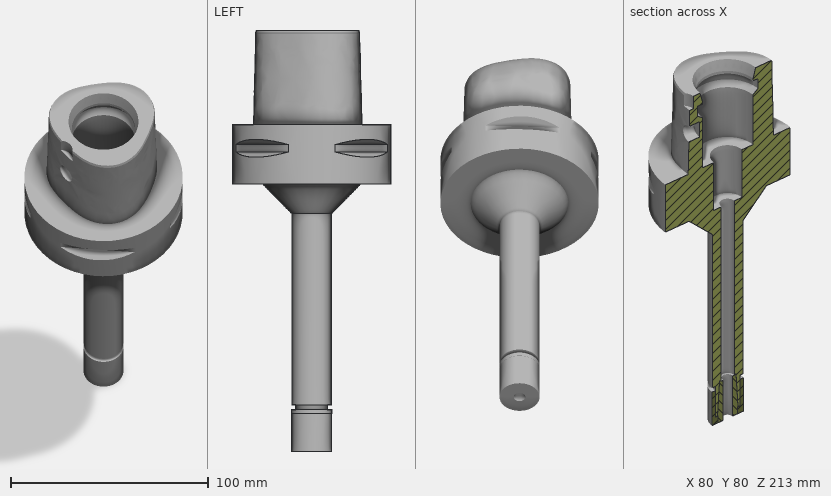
import cadquery as cq
import math


NOSE_BOTTOM = 4.3
NUT_TOP = 21.3
SHANK_BOTTOM = 23.6
CONE_BOTTOM = 120.3
FLANGE_BOTTOM = 135.3
FLANGE_TOP = 165.3
TOP = 213.0

FLANGE_RADIUS = 40.0
CONE_RADIUS = 24.7
SHANK_RADIUS = 10.0
NECK_RADIUS = 8.0

LOBE_COUNT = 3
LOBE_MEAN_RADIUS = 27.5
LOBE_HEIGHT = 2.02
LOBE_CURVE_POINTS = 24
TAPER_PER_SIDE = 1 / 40
TOP_CHAMFER_HEIGHT = 1.3
TOP_CHAMFER_INSET = 0.5

GRIP_COUNT = 4
GRIP_FIRST_ANGLE = 45.0
GRIP_LEVEL = 153.4
GRIP_FLOOR_DISTANCE = 35.4
GRIP_FLOOR_WIDTH = 3.6
GRIP_FLANK_ANGLE = 30.0

NOTCH_RADIUS = 6.0
NOTCH_BACK_DISTANCE = 22.2
NOTCH_DEPTH = 7.9
RADIAL_HOLE_RADIUS = 4.7
RADIAL_HOLE_LEVEL = 190.2
RADIAL_HOLE_FLOOR_DISTANCE = 18.0

MOUTH_RADIUS = 17.7
BORE_RADIUS = 16.0
UNDERCUT_RADIUS = 19.2
LIP_TOP = 206.8
LIP_BOTTOM = 205.1
UNDERCUT_BOTTOM = 199.2
UNDERCUT_CONE_BOTTOM = 196.5
BORE_FLOOR = FLANGE_TOP
INNER_BORE_RADIUS = 9.0
INNER_BORE_FLOOR = FLANGE_BOTTOM
COOLANT_BORE_RADIUS = 4.0

COLLET_TOP = 25.5
COLLET_TOP_RADIUS = 5.1
COLLET_BOTTOM_RADIUS = 6.4
COLLET_BORE_RADIUS = 3.0

NUT_RADIUS = 20.2 / 2
NUT_COLLAR_STEP = 0.1
NUT_COLLAR_HEIGHT = 2.1

PROFILE_PLANE = cq.Plane(origin=(0, 0, 0), xDir=(0, -1, 0), normal=(-1, 0, 0))


def turned(profile):
    """Solid of revolution about Z from (radius, level) points."""
    return cq.Workplane(PROFILE_PLANE).polyline(profile).close().revolve(360, (0, 0), (0, 1))


def lobed_wire(level, inset):
    """Closed three-lobed curve whose radius swings evenly about its mean."""
    points = []
    for i in range(LOBE_CURVE_POINTS):
        turn = 2 * math.pi * i / LOBE_CURVE_POINTS
        radius = LOBE_MEAN_RADIUS - inset - LOBE_HEIGHT * math.cos(LOBE_COUNT * turn)
        angle = turn - math.pi / 2
        points.append(cq.Vector(radius * math.cos(angle), radius * math.sin(angle), level))
    return cq.Wire.assembleEdges([cq.Edge.makeSpline(points, periodic=True)])


def lobed_taper():
    chamfer_level = TOP - TOP_CHAMFER_HEIGHT
    chamfer_inset = (chamfer_level - FLANGE_TOP) * TAPER_PER_SIDE
    base = lobed_wire(FLANGE_TOP, 0)
    shoulder = lobed_wire(chamfer_level, chamfer_inset)
    tip = lobed_wire(TOP, chamfer_inset + TOP_CHAMFER_INSET)
    return cq.Workplane(cq.Solid.makeLoft([base, shoulder, tip], True))


def turned_outside():
    return turned([
        (0, NOSE_BOTTOM),
        (NECK_RADIUS, NOSE_BOTTOM),
        (NECK_RADIUS, SHANK_BOTTOM),
        (SHANK_RADIUS, SHANK_BOTTOM),
        (SHANK_RADIUS, CONE_BOTTOM),
        (CONE_RADIUS, FLANGE_BOTTOM),
        (FLANGE_RADIUS, FLANGE_BOTTOM),
        (FLANGE_RADIUS, FLANGE_TOP),
        (0, FLANGE_TOP),
    ])


def holder_bore():
    return turned([
        (0, NOSE_BOTTOM),
        (COLLET_BOTTOM_RADIUS, NOSE_BOTTOM),
        (COLLET_TOP_RADIUS, COLLET_TOP),
        (COOLANT_BORE_RADIUS, COLLET_TOP),
        (COOLANT_BORE_RADIUS, INNER_BORE_FLOOR),
        (INNER_BORE_RADIUS, INNER_BORE_FLOOR),
        (INNER_BORE_RADIUS, BORE_FLOOR),
        (BORE_RADIUS, BORE_FLOOR),
        (BORE_RADIUS, UNDERCUT_CONE_BOTTOM),
        (UNDERCUT_RADIUS, UNDERCUT_BOTTOM),
        (UNDERCUT_RADIUS, LIP_BOTTOM),
        (BORE_RADIUS, LIP_BOTTOM),
        (BORE_RADIUS, LIP_TOP),
        (MOUTH_RADIUS, TOP),
        (0, TOP),
    ])


def grip_groove(angle):
    """Straight groove with sloping flanks, running along a tangent of the flange."""
    depth = FLANGE_RADIUS - GRIP_FLOOR_DISTANCE
    half_floor = GRIP_FLOOR_WIDTH / 2
    half_mouth = half_floor + depth * math.tan(math.radians(GRIP_FLANK_ANGLE))
    section = [
        (GRIP_FLOOR_DISTANCE, GRIP_LEVEL - half_floor),
        (FLANGE_RADIUS, GRIP_LEVEL - half_mouth),
        (FLANGE_RADIUS, GRIP_LEVEL + half_mouth),
        (GRIP_FLOOR_DISTANCE, GRIP_LEVEL + half_floor),
    ]
    groove = cq.Workplane("XZ").polyline(section).close().extrude(FLANGE_RADIUS, both=True)
    return groove.rotate((0, 0, 0), (0, 0, 1), angle)


def index_notch():
    centre = (0, -NOTCH_BACK_DISTANCE - NOTCH_RADIUS, TOP - NOTCH_DEPTH)
    return cq.Workplane("XY", origin=centre).circle(NOTCH_RADIUS).extrude(NOTCH_DEPTH)


def radial_hole():
    floor_centre = (0, -RADIAL_HOLE_FLOOR_DISTANCE, RADIAL_HOLE_LEVEL)
    length = LOBE_MEAN_RADIUS - RADIAL_HOLE_FLOOR_DISTANCE
    return cq.Workplane("XZ", origin=floor_centre).circle(RADIAL_HOLE_RADIUS).extrude(length)


def make_holder():
    body = turned_outside().union(lobed_taper())
    for i in range(GRIP_COUNT):
        body = body.cut(grip_groove(GRIP_FIRST_ANGLE + i * 360 / GRIP_COUNT))
    return body.cut(index_notch()).cut(radial_hole()).cut(holder_bore())


def make_collet():
    """Cylindrical face in the nut, then a cone that fills the seat in the holder's nose."""
    return turned([
        (COLLET_BORE_RADIUS, 0),
        (COLLET_BOTTOM_RADIUS, 0),
        (COLLET_BOTTOM_RADIUS, NOSE_BOTTOM),
        (COLLET_TOP_RADIUS, COLLET_TOP),
        (COLLET_BORE_RADIUS, COLLET_TOP),
    ])


def make_nut():
    """Cap around the holder's neck, closed below down to the collet."""
    collar_bottom = NUT_TOP - NUT_COLLAR_HEIGHT
    collar_radius = NUT_RADIUS + NUT_COLLAR_STEP
    return turned([
        (COLLET_BOTTOM_RADIUS, 0),
        (NUT_RADIUS, 0),
        (NUT_RADIUS, collar_bottom),
        (collar_radius, collar_bottom),
        (collar_radius, NUT_TOP),
        (NECK_RADIUS, NUT_TOP),
        (NECK_RADIUS, NOSE_BOTTOM),
        (COLLET_BOTTOM_RADIUS, NOSE_BOTTOM),
    ])


holder = make_holder()
collet = make_collet()
nut = make_nut()

result = cq.Compound.makeCompound([holder.val(), collet.val(), nut.val()])